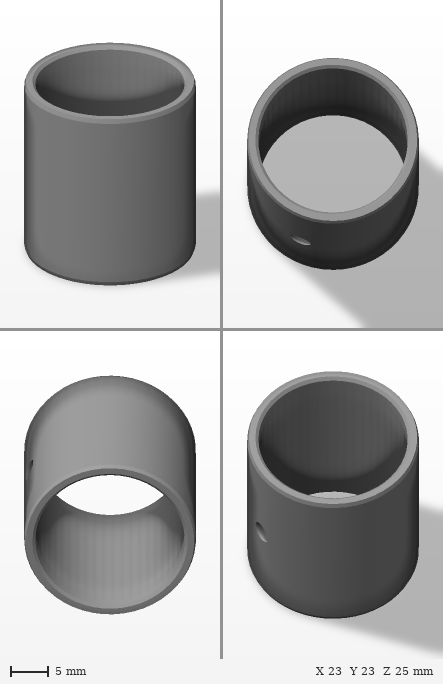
import cadquery as cq

length = 25.0
outer_diameter = 23.0
bore_diameter = 20.0

outer_chamfer_length = 0.6
outer_chamfer_depth = 0.22

bore_chamfer = 0.4

hole_diameter = 3.0

outer_radius = outer_diameter / 2
bore_radius = bore_diameter / 2
half_length = length / 2


def sleeve():
    """Revolve the chamfered wall section around Z."""
    outer_end = half_length - outer_chamfer_length
    bore_end = half_length - bore_chamfer
    face_outer = outer_radius - outer_chamfer_depth
    face_inner = bore_radius + bore_chamfer
    section = [
        (bore_radius, -bore_end),
        (face_inner, -half_length),
        (face_outer, -half_length),
        (outer_radius, -outer_end),
        (outer_radius, outer_end),
        (face_outer, half_length),
        (face_inner, half_length),
        (bore_radius, bore_end),
    ]
    return cq.Workplane("XZ").polyline(section).close().revolve(360, (0, 0), (0, 1))


def radial_hole():
    """Cylinder from the axis outward past the +Y wall."""
    return cq.Workplane("XZ").circle(hole_diameter / 2).extrude(-outer_diameter)


result = sleeve().cut(radial_hole())